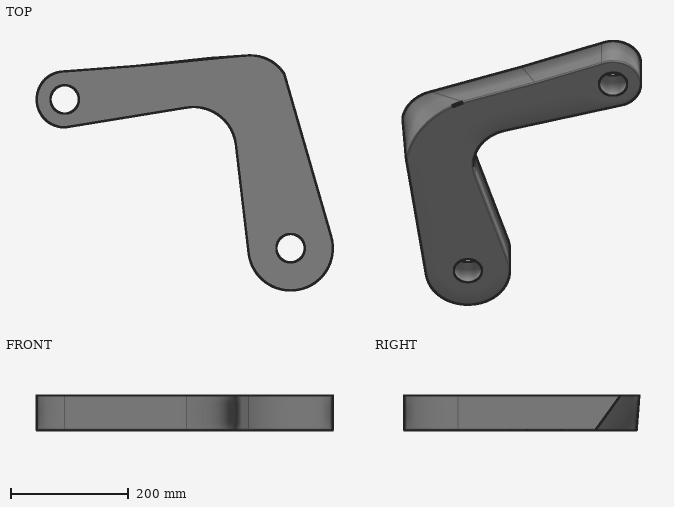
import cadquery as cq
import math

thickness = 60.0
small_radius = 48.0
big_radius = 72.0
hole_diameter = 48.0
bottom_rounding = 2.5
small_center = (0, 0)
big_center = (383.0, -252.5)
inner_center = (219.0, -85.0)
inner_radius = 72.0

front_leave_angle = -90
back_leave_angle = 90

top_bend = (144.0, 58.5)
top_corner_start = (306.0, 74.5)
top_corner_radius = 69.0
top_corner_end = (372.5, 43.5)
bottom_bend = (119.5, 57.0)
bottom_corner_start = (247.0, 70.5)
bottom_corner_radius = 154.5
bottom_corner_drop = 45.5


def polar(center, radius, degrees):
    angle = math.radians(degrees)
    return (center[0] + radius * math.cos(angle), center[1] + radius * math.sin(angle))


def heading_and_distance(start, end):
    dx = end[0] - start[0]
    dy = end[1] - start[1]
    return math.degrees(math.atan2(dy, dx)), math.hypot(dx, dy)


def cross_tangent_angle(start, end, radius_sum, side):
    """Angle from start to the tangent point of a line crossing between two circles."""
    heading, distance = heading_and_distance(start, end)
    return heading + side * math.degrees(math.acos(radius_sum / distance))


inner_entry = 180 + cross_tangent_angle(small_center, inner_center, small_radius + inner_radius, -1)
big_angle = cross_tangent_angle(big_center, inner_center, big_radius + inner_radius, 1)
inner_exit = big_angle - 180
outer_heading, outer_distance = heading_and_distance(big_center, top_corner_end)
outer_angle = outer_heading - math.degrees(math.acos(big_radius / outer_distance))

outer_tangent = polar(big_center, big_radius, outer_angle)
bottom_corner_end = polar(top_corner_end, bottom_corner_drop, outer_angle - 90)


def outline(sketch, bend, corner_start, corner_radius, corner_end):
    """Closed outline, clockwise from the start of the back wall."""
    return (
        sketch.moveTo(*polar(small_center, small_radius, back_leave_angle))
        .lineTo(*bend)
        .lineTo(*corner_start)
        .radiusArc(corner_end, corner_radius)
        .lineTo(*outer_tangent)
        .threePointArc(
            polar(big_center, big_radius, (outer_angle + big_angle) / 2 + 180),
            polar(big_center, big_radius, big_angle),
        )
        .lineTo(*polar(inner_center, inner_radius, inner_exit))
        .threePointArc(
            polar(inner_center, inner_radius, (inner_exit + inner_entry) / 2),
            polar(inner_center, inner_radius, inner_entry),
        )
        .lineTo(*polar(small_center, small_radius, front_leave_angle))
        .threePointArc(
            polar(small_center, small_radius, (front_leave_angle + back_leave_angle) / 2 + 180),
            polar(small_center, small_radius, back_leave_angle),
        )
        .close()
    )


bottom_sketch = outline(
    cq.Workplane("XY"), bottom_bend, bottom_corner_start, bottom_corner_radius, bottom_corner_end
)
arm = outline(
    bottom_sketch.workplane(offset=thickness),
    top_bend, top_corner_start, top_corner_radius, top_corner_end,
).loft(ruled=True)

arm = arm.faces("<Z").edges().fillet(bottom_rounding)

holes = (
    cq.Workplane("XY")
    .pushPoints([small_center, big_center])
    .circle(hole_diameter / 2)
    .extrude(thickness)
)

result = arm.cut(holes)